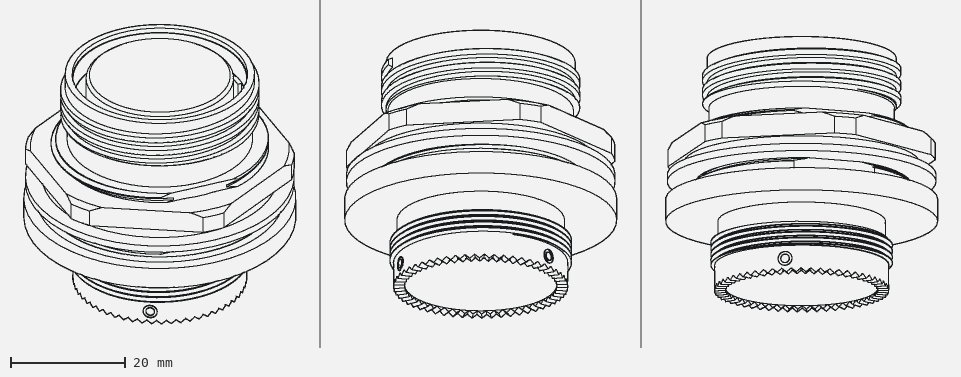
import cadquery as cq
import math

TOOTH_DEPTH = 0.7
COLLAR_TOP = 4.75
REAR_THREAD_TOP = 8.95
FLANGE_BOTTOM = 12.65
FLANGE_TOP = 16.62
BARREL_THREAD_BOTTOM = 19.0
WASHER_BOTTOM = 19.75
WASHER_TOP = 21.05
NUT_BOTTOM = 23.1
NUT_TOP = 26.95
BARREL_TOP = 28.65
FRONT_THREAD_BOTTOM = 33.0
OVERALL_HEIGHT = 41.9

COLLAR_RADIUS = 15.2
TOOTH_COUNT = 56
TOOTH_RING_INNER_RADIUS = 13.3
REAR_THREAD_CREST = 15.85
REAR_NECK_RADIUS = 14.65
MARK_COUNT = 3
MARK_FIRST_ANGLE = -30.0
MARK_HEIGHT = 2.45
MARK_RADIUS = 1.25
MARK_ISLAND_RADIUS = 0.75
MARK_DEPTH = 0.2

FLANGE_RADIUS = 23.75
SEAL_CENTRE_RADIUS = 20.9
SEAL_SECTION_RADIUS = 0.85
SEAL_HEIGHT_ABOVE_FLANGE = 0.48

BARREL_RADIUS = 19.0
BARREL_ROOT = 18.2
BARREL_FLAT_X = 17.5

WASHER_RADIUS = 23.45
NUT_COLLAR_RADIUS = 20.6
NUT_ACROSS_FLATS = 42.45
NUT_CORNER_RADIUS = 23.45
NUT_CHAMFER = 0.85
NUT_BORE_RADIUS = 17.7

FRONT_NECK_RADIUS = 16.2
SHELL_RADIUS = 16.55
FRONT_THREAD_CREST = 17.35
FRONT_THREAD_RUNOUT = 0.65
RIM_BORE_RADIUS = 15.3
RIM_BORE_DEPTH = 0.9
SHELL_BORE_RADIUS = 15.15
LOWER_BORE_RADIUS = 15.05
LOWER_BORE_TOP = 37.05
SHELL_FLOOR = 32.1
INSERT_RADIUS = 12.85
INSERT_TOP = 41.6
INSERT_CHAMFER = 0.55
KEY_WIDTH = 2.75
KEY_INNER_RADIUS = 14.25

REAR_THREAD = (1.05, 0.95, 0.15)
BARREL_THREAD = (1.5, 1.15, 0.2)
FRONT_THREAD = (2.55, 1.7, 1.0)
THREAD_OVERLAP = 0.2

REAR_RIDGE_START = 4.45
REAR_RIDGE_ANGLE = 180.0
REAR_RIDGE_TURNS = 6
BARREL_RIDGE_START = 18.35
BARREL_RIDGE_ANGLE = 180.0
BARREL_RIDGE_TURNS = 8
FRONT_RIDGE_END = 39.7
FRONT_RIDGE_ANGLE = 90.0
FRONT_RIDGE_TURNS = 3

CLEARANCE = 0.48


def disc(radius, bottom, top):
    return cq.Workplane("XY").workplane(offset=bottom).circle(radius).extrude(top - bottom)


def turned(shape, angle):
    return shape.rotate((0, 0, 0), (0, 0, 1), angle)


def threaded_rod(root, crest, form, bottom, top, ridge_z, ridge_angle, turns):
    """Rod with a right-handed ridge of the given form, trimmed flat at both ends.

    The ridge's centre line starts at height ridge_z, ridge_angle degrees from +X.
    """
    pitch, root_width, crest_width = form
    foot = root - THREAD_OVERLAP
    flank_slope = (root_width - crest_width) / 2 / (crest - root)
    half_crest = crest_width / 2
    half_foot = half_crest + flank_slope * (crest - foot)
    path = cq.Wire.makeHelix(pitch, turns * pitch, foot)
    profile = cq.Workplane("XZ").polyline(
        [(foot, -half_foot), (crest, -half_crest), (crest, half_crest), (foot, half_foot)]
    ).close()
    ridge = profile.sweep(cq.Workplane(path), isFrenet=True)
    ridge = turned(ridge, ridge_angle).translate((0, 0, ridge_z))
    spare = 3 * pitch
    rod = disc(root, bottom - spare, top + spare).union(ridge)
    return rod.intersect(disc(crest + CLEARANCE, bottom, top))


def make_rear_end():
    collar = disc(COLLAR_RADIUS, 0, COLLAR_TOP)
    collar = collar.cut(disc(TOOTH_RING_INNER_RADIUS, 0, TOOTH_DEPTH))
    collar = cut_teeth(collar).cut(ring_marks())
    thread = threaded_rod(
        COLLAR_RADIUS, REAR_THREAD_CREST, REAR_THREAD, COLLAR_TOP, REAR_THREAD_TOP,
        REAR_RIDGE_START, REAR_RIDGE_ANGLE, REAR_RIDGE_TURNS,
    )
    return collar.union(thread)


def cut_teeth(collar):
    """Cut radial V gaps so that the rim ends in a ring of pointed teeth."""
    half_gap = COLLAR_RADIUS * math.tan(math.pi / TOOTH_COUNT)
    gap = (
        cq.Workplane("YZ")
        .workplane(offset=TOOTH_RING_INNER_RADIUS - CLEARANCE)
        .polyline([(-2 * half_gap, -TOOTH_DEPTH), (0, TOOTH_DEPTH), (2 * half_gap, -TOOTH_DEPTH)])
        .close()
        .extrude(COLLAR_RADIUS - TOOTH_RING_INNER_RADIUS + 2 * CLEARANCE)
    )
    for i in range(TOOTH_COUNT):
        collar = collar.cut(turned(gap, i * 360 / TOOTH_COUNT))
    return collar


def ring_marks():
    """Shallow circular grooves around the collar, each leaving a round island at its centre."""
    plane = cq.Plane(
        origin=(COLLAR_RADIUS - MARK_DEPTH, 0, MARK_HEIGHT), xDir=(0, 1, 0), normal=(1, 0, 0)
    )
    mark = cq.Workplane(plane).circle(MARK_RADIUS).circle(MARK_ISLAND_RADIUS).extrude(2 * MARK_DEPTH)
    marks = turned(mark, MARK_FIRST_ANGLE)
    for i in range(1, MARK_COUNT):
        angle = MARK_FIRST_ANGLE + i * 360 / MARK_COUNT
        marks = marks.union(turned(mark, angle))
    return marks


def make_flange():
    seal_z = FLANGE_TOP + SEAL_HEIGHT_ABOVE_FLANGE - SEAL_SECTION_RADIUS
    seal = cq.Workplane(cq.Solid.makeTorus(
        SEAL_CENTRE_RADIUS, SEAL_SECTION_RADIUS, cq.Vector(0, 0, seal_z), cq.Vector(0, 0, 1)
    ))
    return disc(FLANGE_RADIUS, FLANGE_BOTTOM, FLANGE_TOP).union(seal)


def make_barrel():
    shoulder = disc(BARREL_RADIUS, FLANGE_TOP, BARREL_THREAD_BOTTOM)
    thread = threaded_rod(
        BARREL_ROOT, BARREL_RADIUS, BARREL_THREAD, BARREL_THREAD_BOTTOM, BARREL_TOP,
        BARREL_RIDGE_START, BARREL_RIDGE_ANGLE, BARREL_RIDGE_TURNS,
    )
    barrel = shoulder.union(thread)
    beyond_flat = cq.Workplane("XY").box(
        BARREL_RADIUS, 2 * BARREL_RADIUS, BARREL_TOP - FLANGE_TOP, centered=(False, True, False)
    ).translate((BARREL_FLAT_X, 0, FLANGE_TOP))
    return barrel.cut(beyond_flat)


def make_nut():
    hexagon = (
        cq.Workplane("XY")
        .workplane(offset=NUT_BOTTOM)
        .polygon(6, NUT_ACROSS_FLATS / math.cos(math.pi / 6))
        .extrude(NUT_TOP - NUT_BOTTOM)
    )
    turned_blank = disc(NUT_CORNER_RADIUS, NUT_BOTTOM, NUT_TOP).faces(">Z").chamfer(NUT_CHAMFER)
    nut = hexagon.intersect(turned_blank).union(disc(NUT_COLLAR_RADIUS, WASHER_TOP, NUT_BOTTOM))
    return nut.cut(disc(NUT_BORE_RADIUS, WASHER_TOP, NUT_TOP))


def make_front_shell():
    pitch = FRONT_THREAD[0]
    ridge_start = FRONT_RIDGE_END - FRONT_RIDGE_TURNS * pitch
    neck = disc(FRONT_NECK_RADIUS, BARREL_TOP, FRONT_THREAD_BOTTOM)
    thread = threaded_rod(
        SHELL_RADIUS, FRONT_THREAD_CREST, FRONT_THREAD, FRONT_THREAD_BOTTOM, OVERALL_HEIGHT,
        ridge_start, FRONT_RIDGE_ANGLE, FRONT_RIDGE_TURNS,
    )
    shell = neck.union(thread.cut(front_thread_runout()))
    bores = (
        disc(LOWER_BORE_RADIUS, SHELL_FLOOR, LOWER_BORE_TOP)
        .union(disc(SHELL_BORE_RADIUS, LOWER_BORE_TOP, OVERALL_HEIGHT - RIM_BORE_DEPTH))
        .union(disc(RIM_BORE_RADIUS, OVERALL_HEIGHT - RIM_BORE_DEPTH, OVERALL_HEIGHT))
    )
    return shell.cut(bores)


def front_thread_runout():
    """Conical relief below the coupling thread, rising outward from the neck."""
    outer = FRONT_THREAD_CREST + CLEARANCE
    slope = FRONT_THREAD_RUNOUT / (FRONT_THREAD_CREST - FRONT_NECK_RADIUS)
    outer_top = FRONT_THREAD_BOTTOM + slope * (outer - FRONT_NECK_RADIUS)
    return (
        cq.Workplane("XZ")
        .polyline([
            (FRONT_NECK_RADIUS, FRONT_THREAD_BOTTOM),
            (outer, FRONT_THREAD_BOTTOM),
            (outer, outer_top),
        ])
        .close()
        .revolve(360, (0, 0, 0), (0, 1, 0))
    )


def make_insert():
    return disc(INSERT_RADIUS, SHELL_FLOOR, INSERT_TOP).faces(">Z").chamfer(INSERT_CHAMFER)


def make_key():
    """Polarising key inside the lower bore, on the +Y side."""
    block = cq.Workplane("XY").box(
        KEY_WIDTH, SHELL_RADIUS, LOWER_BORE_TOP - SHELL_FLOOR, centered=(True, False, False)
    ).translate((0, KEY_INNER_RADIUS, SHELL_FLOOR))
    return block.intersect(disc(FRONT_NECK_RADIUS, SHELL_FLOOR, LOWER_BORE_TOP))


result = (
    make_rear_end()
    .union(disc(REAR_NECK_RADIUS, REAR_THREAD_TOP, FLANGE_BOTTOM))
    .union(make_flange())
    .union(make_barrel())
    .union(disc(WASHER_RADIUS, WASHER_BOTTOM, WASHER_TOP))
    .union(make_nut())
    .union(make_front_shell())
    .union(make_insert())
    .union(make_key())
)